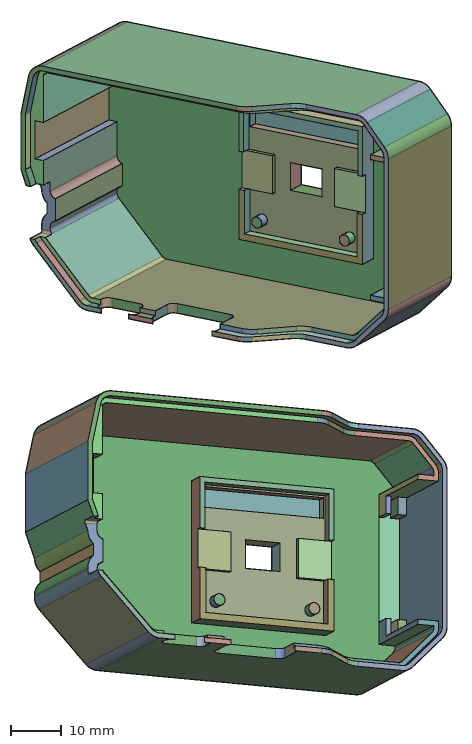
import cadquery as cq
import math

LENGTH, DEPTH, HEIGHT = 80.6, 31.7, 49.2
WALL = 2.0
LIP = WALL / 2
LIP_DEPTH = WALL
BACK_FACE = DEPTH - WALL
OUTER_RADIUS = 3.5

LEFT_INSET = 1.9
TOP_LEFT = (2.3, HEIGHT)
TOP_RIGHT = (74.6, HEIGHT)
RIGHT_UPPER = (LENGTH, 42.6)
RIGHT_LOWER = (LENGTH, 8.3)
BOTTOM_RIGHT = (72.3, 0)
BOTTOM_LEFT = (14.0, 0)
LEFT_LOWER = (LEFT_INSET, 12.3)
GROOVE_TOP = 21.6
GROOVE_BOTTOM = 14.0
BENDS = [(LEFT_INSET, GROOVE_TOP), (0, 26.7), (0, 38.5)]
ROUNDED = [TOP_LEFT, TOP_RIGHT, RIGHT_UPPER, RIGHT_LOWER, BOTTOM_RIGHT, BOTTOM_LEFT, LEFT_LOWER]

FRONT_STEP = 8.0
STEP_START = 50.2
STEP_RADIUS = 4
STEP_ANGLE = 45

LEFT_INNER = LEFT_INSET + WALL
GROOVE_DEPTH = 1.2
POCKET_BOTTOM, POCKET_TOP = 28.7, 36.65
SIDE_NOTCH_BOTTOM, SIDE_NOTCH_TOP = 12.65, 23.5
SIDE_NOTCH_DEPTH = 4.6
SIDE_NOTCH_RADIUS = 0.5

BOTTOM_NOTCHES = [(17.25, 26.5, 0, 4), (30.05, 45.1, -0.25, 8.0)]
NOTCH_RADIUS = 1.45

RAIL_LEFT = 75.2
RAIL_THICKNESS = 1.05
LOWER_RAIL_TOP = 11.2
UPPER_RAIL_BOTTOM = 39.6
RAIL_WALL = LENGTH - LIP
BACK_RELIEF = 0.2
POST_HEIGHT = 3.55
POST_LENGTH = 3.55
POST_SPANS = [(RAIL_LEFT, 76.2), (77.7, RAIL_WALL)]

MOUNT_LEFT, MOUNT_RIGHT = 34.9, 63.65
MOUNT_BOTTOM, MOUNT_TOP = 10.95, 39.8
MOUNT_RISE = 4.2
MOUNT_FLOOR_RISE = 2.1
MOUNT_RIM = 1.05
LOWER_RIM = 1.3
MOUNT_BOTTOM_RIM = 1.4
PAD_BOTTOM, PAD_TOP = 21.4, 29.4
PAD_WIDTH = 7.2
PAD_RISE = 3.1
TROUGH_BOTTOM, TROUGH_TOP = 34.2, 38.35
WINDOW_LEFT, WINDOW_RIGHT = 45.6, 52.9
WINDOW_BOTTOM, WINDOW_TOP = 22.55, 28.4
PIN_DIAMETER = 2.3
PIN_CENTERS = [(39.1, 15.2), (59.5, 15.2)]


def block(x0, x1, y0, y1, z0, z1):
    """Box between two opposite corners."""
    return cq.Workplane("XY").box(x1 - x0, y1 - y0, z1 - z0, centered=False).translate((x0, y0, z0))


def outline_prism(inset, y0, y1):
    """Case outline shrunk by inset, running from y0 to y1."""
    profile = cq.Workplane("XZ", origin=(0, y0, 0)).polyline(ROUNDED + BENDS).close()
    if inset:
        profile = profile.offset2D(-inset, "intersection")
    prism = profile.extrude(y0 - y1)
    for x, z in ROUNDED:
        corner = cq.selectors.NearestToPointSelector((x, (y0 + y1) / 2, z))
        prism = prism.edges("|Y").edges(corner).fillet(OUTER_RADIUS - inset)
    return prism


def ahead_of_front(setback):
    """Space in front of the stepped front edge, moved back by setback."""
    slope = math.radians(STEP_ANGLE)
    run = FRONT_STEP / math.tan(slope) + 2 * STEP_RADIUS * math.tan(slope / 2)
    side = STEP_RADIUS * math.sin(slope)
    sag = STEP_RADIUS * (1 - math.cos(slope))
    half_side = STEP_RADIUS * math.sin(slope / 2)
    half_sag = STEP_RADIUS * (1 - math.cos(slope / 2))
    low, high = setback, setback + FRONT_STEP
    step_end = STEP_START + run
    margin = 8.05
    return (
        cq.Workplane("XY")
        .moveTo(-margin, low)
        .lineTo(STEP_START, low)
        .threePointArc((STEP_START + half_side, low + half_sag), (STEP_START + side, low + sag))
        .lineTo(step_end - side, high - sag)
        .threePointArc((step_end - half_side, high - half_sag), (step_end, high))
        .lineTo(LENGTH + margin, high)
        .lineTo(LENGTH + margin, -margin)
        .lineTo(-margin, -margin)
        .close()
        .extrude(HEIGHT)
    )


def groove_prism(base_x, radius):
    """Full-depth strip from base_x to the groove bottom; arcs of the given radius form its sides."""
    center_x = LEFT_INSET + OUTER_RADIUS
    start_x = center_x - radius
    reach = math.acos((radius - GROOVE_DEPTH) / radius)

    def arc_point(angle, z, side):
        return (center_x - radius * math.cos(angle), z + side * radius * math.sin(angle))

    return (
        cq.Workplane("XZ")
        .moveTo(base_x, GROOVE_TOP)
        .lineTo(start_x, GROOVE_TOP)
        .threePointArc(arc_point(reach / 2, GROOVE_TOP, -1), arc_point(reach, GROOVE_TOP, -1))
        .lineTo(*arc_point(reach, GROOVE_BOTTOM, 1))
        .threePointArc(arc_point(reach / 2, GROOVE_BOTTOM, 1), (start_x, GROOVE_BOTTOM))
        .lineTo(base_x, GROOVE_BOTTOM)
        .close()
        .extrude(-DEPTH)
    )


def make_shell():
    """Hollow case with a thick left wall and a rebated rim along the stepped front."""
    cavity = outline_prism(WALL, 0, BACK_FACE)
    thick_left = block(0, LEFT_INNER, 0, DEPTH, 0, HEIGHT)
    pocket = block(0, LEFT_INNER, 0, DEPTH, POCKET_BOTTOM, POCKET_TOP)
    cavity = cavity.cut(thick_left.cut(pocket))
    ridge = groove_prism(LEFT_INSET, OUTER_RADIUS - WALL)
    cavity = cavity.cut(ridge)
    rebate = outline_prism(LIP, 0, BACK_FACE).intersect(ahead_of_front(LIP_DEPTH))
    groove = groove_prism(0, OUTER_RADIUS)
    return outline_prism(0, 0, DEPTH).cut(cavity).cut(groove).cut(rebate)


def add_rails(case):
    """Thin the right wall between two rails and stand a pair of posts on each rail."""
    recess = block(RAIL_LEFT, RAIL_WALL, 0, BACK_FACE + BACK_RELIEF, LOWER_RAIL_TOP, UPPER_RAIL_BOTTOM)
    rail_tops = [LOWER_RAIL_TOP, UPPER_RAIL_BOTTOM + RAIL_THICKNESS]
    for top in rail_tops:
        rail = block(RAIL_LEFT, RAIL_WALL, 0, DEPTH - LIP, top - RAIL_THICKNESS, top)
        case = case.union(rail.cut(ahead_of_front(LIP_DEPTH)))
    case = case.cut(recess)
    post_bottoms = [LOWER_RAIL_TOP, UPPER_RAIL_BOTTOM - POST_HEIGHT]
    for bottom in post_bottoms:
        for left, right in POST_SPANS:
            case = case.union(
                block(left, right, BACK_FACE - POST_LENGTH, DEPTH - LIP, bottom, bottom + POST_HEIGHT)
            )
    return case


def add_mount(case):
    """Framed seat on the back wall with side pads, pins, a trough and a through window."""
    front = BACK_FACE - MOUNT_RISE
    floor = BACK_FACE - MOUNT_FLOOR_RISE
    inner_left, inner_right = MOUNT_LEFT + LOWER_RIM, MOUNT_RIGHT - LOWER_RIM
    mount = block(MOUNT_LEFT, MOUNT_RIGHT, front, BACK_FACE, MOUNT_BOTTOM, MOUNT_TOP)
    lower_seat = block(inner_left, inner_right, front, floor, MOUNT_BOTTOM + MOUNT_BOTTOM_RIM, PAD_TOP)
    upper_seat = block(
        MOUNT_LEFT + MOUNT_RIM, MOUNT_RIGHT - MOUNT_RIM, front, floor, PAD_TOP, MOUNT_TOP - MOUNT_RIM
    )
    trough = block(inner_left, inner_right, front, BACK_FACE, TROUGH_BOTTOM, TROUGH_TOP)
    side_gaps = block(MOUNT_LEFT, MOUNT_RIGHT, front, floor, PAD_BOTTOM, PAD_TOP)
    mount = mount.cut(lower_seat).cut(upper_seat).cut(trough).cut(side_gaps)
    for left in (MOUNT_LEFT, MOUNT_RIGHT - PAD_WIDTH):
        mount = mount.union(
            block(left, left + PAD_WIDTH, BACK_FACE - PAD_RISE, BACK_FACE, PAD_BOTTOM, PAD_TOP)
        )
    pins = (
        cq.Workplane("XZ", origin=(0, BACK_FACE, 0))
        .pushPoints(PIN_CENTERS)
        .circle(PIN_DIAMETER / 2)
        .extrude(MOUNT_RISE)
    )
    window = block(WINDOW_LEFT, WINDOW_RIGHT, front, DEPTH, WINDOW_BOTTOM, WINDOW_TOP)
    return case.union(mount).union(pins).cut(window)


def cut_notches(case):
    """Rounded openings in the front edge of the bottom wall and of the left wall."""
    for left, right, front, back in BOTTOM_NOTCHES:
        notch = block(left, right, front, back, 0, WALL).edges("|Z").fillet(NOTCH_RADIUS)
        case = case.cut(notch)
    side_notch = block(
        0, LEFT_INNER + GROOVE_DEPTH + LIP, 0, SIDE_NOTCH_DEPTH, SIDE_NOTCH_BOTTOM, SIDE_NOTCH_TOP
    )
    return case.cut(side_notch.edges("|X and >Y").fillet(SIDE_NOTCH_RADIUS))


result = make_shell()
result = add_rails(result)
result = add_mount(result)
result = result.cut(ahead_of_front(0))
result = cut_notches(result)